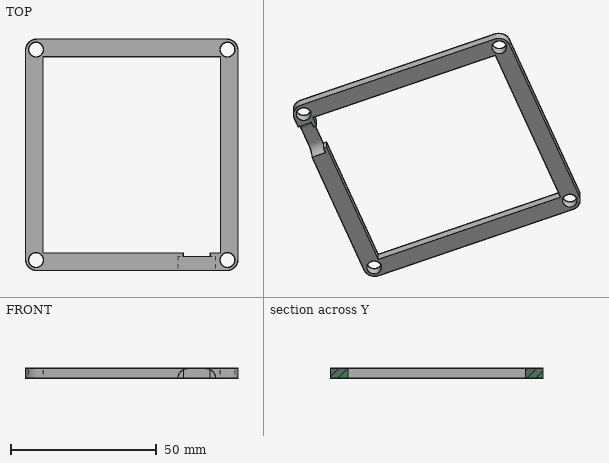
import cadquery as cq

width = 73.0
length = 79.5
thickness = 3.5
rail_width = 6.1
corner_radius = 4.0

hole_diameter = 5.0
hole_inset = 3.65

bridge_left = 17.7
bridge_width = 9.15
bridge_right = bridge_left + bridge_width
bridge_thickness = 0.15
notch_depth = 1.2
arch_flare = 1.9


def make_frame():
    """Rounded rectangular plate with a sharp-cornered window."""
    plate = cq.Workplane("XY").box(width, length, thickness, centered=(True, True, False))
    plate = plate.edges("|Z").fillet(corner_radius)
    window = cq.Workplane("XY").box(
        width - 2 * rail_width, length - 2 * rail_width, thickness, centered=(True, True, False)
    )
    return plate.cut(window)


def make_corner_holes():
    """Four through holes, one near each corner."""
    return (
        cq.Workplane("XY")
        .rect(width - 2 * hole_inset, length - 2 * hole_inset, forConstruction=True)
        .vertices()
        .circle(hole_diameter / 2)
        .extrude(thickness)
    )


def make_underside_arch():
    """Recess below the bridge, from the outer face to the notch, with quarter-round ends."""
    arch_radius = thickness - bridge_thickness
    arch_left = bridge_left - arch_flare
    arch_right = bridge_right + arch_flare
    flat_width = arch_right - arch_left - 2 * arch_radius
    return (
        cq.Workplane("XZ", origin=(0, -length / 2, 0))
        .moveTo(arch_left, 0)
        .radiusArc((arch_left + arch_radius, arch_radius), arch_radius)
        .hLine(flat_width)
        .radiusArc((arch_right, 0), arch_radius)
        .close()
        .extrude(notch_depth - rail_width)
    )


def make_bridge_notch():
    """Shallow notch in the inner edge of the front rail, beside the bridge."""
    inner_edge = -length / 2 + rail_width
    return cq.Workplane("XY", origin=(bridge_left, inner_edge - notch_depth, 0)).box(
        bridge_width, notch_depth, thickness, centered=False
    )


result = make_frame().cut(make_corner_holes()).cut(make_underside_arch()).cut(make_bridge_notch())